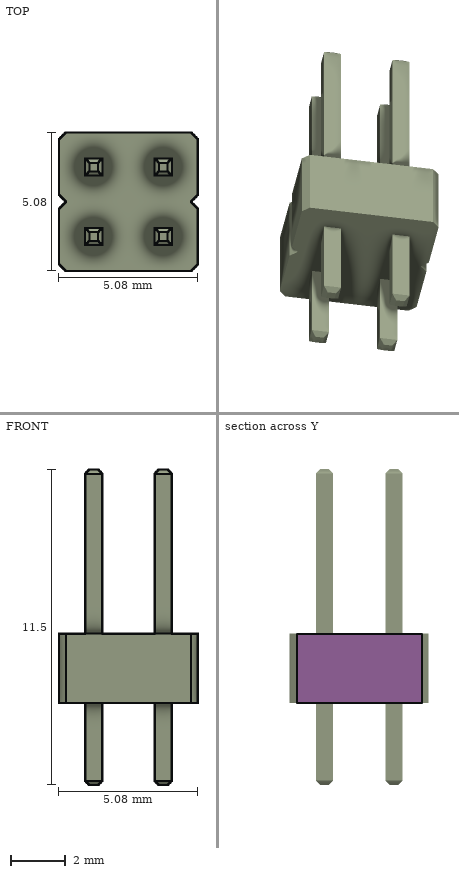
import cadquery as cq

pitch = 2.54
pins_per_side = 2
total_height = 11.54
tail_length = 3.0
body_height = 2.54
corner_cut = 0.25
pin_width = 0.63
pin_tip_chamfer = 0.16

body_width = pins_per_side * pitch
half_width = body_width / 2


def make_body():
    """Square block with chamfered corners and a V notch in each X side."""
    block = (
        cq.Workplane("XY")
        .box(body_width, body_width, body_height, centered=(True, True, False))
        .edges("|Z")
        .chamfer(corner_cut)
    )
    for side in (-1, 1):
        outer_x = side * half_width
        notch = (
            cq.Workplane("XY")
            .moveTo(outer_x, -corner_cut)
            .lineTo(outer_x - side * corner_cut, 0)
            .lineTo(outer_x, corner_cut)
            .close()
            .extrude(body_height)
        )
        block = block.cut(notch)
    return block


def make_pins():
    """Square pins on the pitch grid, chamfered at both ends."""
    return (
        cq.Workplane("XY")
        .workplane(offset=-tail_length)
        .rarray(pitch, pitch, pins_per_side, pins_per_side)
        .rect(pin_width, pin_width)
        .extrude(total_height)
        .faces("<Z or >Z")
        .chamfer(pin_tip_chamfer)
    )


result = make_body().union(make_pins())